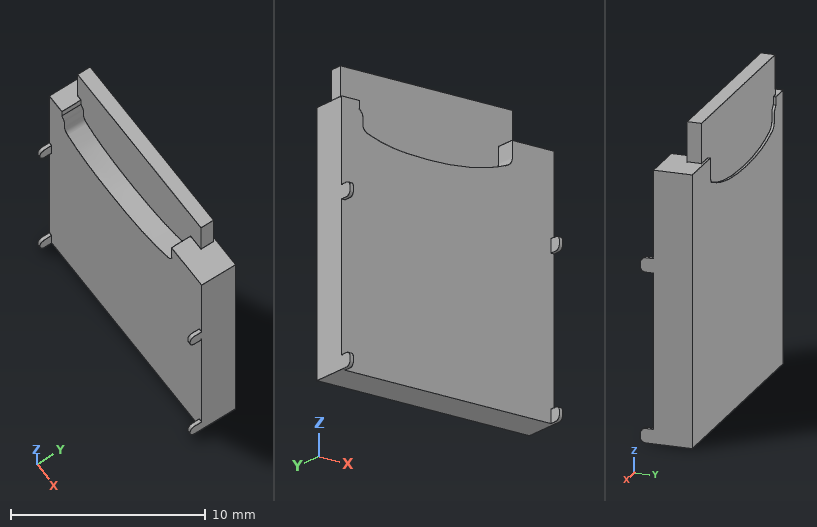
import cadquery as cq

housing_width = 13.7
housing_depth = 2.14
housing_height = 15.0

card_width = 11.1
card_thickness = 0.8
card_length = 15.0
card_protrusion = 2.2
card_offset_x = -0.48
card_back_gap = 0.14

tab_width = 0.22
tab_height = 0.8
tab_length = 0.72
tab_corner_radius = 0.3
upper_tab_base = 9.35

notch_left = -5.49
notch_right = 4.14
notch_mouth_left = -5.71
step_top_drop = 0.45
step_bottom_drop = 0.72
notch_left_drop = 1.57
notch_right_drop = 1.3
step_radius = 0.3
notch_corner_radius = 0.5
floor_points = [(-3.93, 2.06), (-1.72, 2.27), (0.45, 2.21), (1.74, 2.04)]


def make_card():
    card_top = housing_height + card_protrusion
    card_back = housing_depth - card_back_gap
    return cq.Workplane("XY").box(
        card_width, card_thickness, card_length, centered=(True, False, False)
    ).translate((card_offset_x, card_back - card_thickness, card_top - card_length))


def make_notch_cutter():
    def below_top(x, drop):
        return (x, housing_height - drop)

    floor = [below_top(x, drop) for x, drop in floor_points]
    floor.append(below_top(notch_right, notch_right_drop))
    cutter = (
        cq.Workplane("XZ")
        .moveTo(*below_top(notch_mouth_left, 0))
        .lineTo(*below_top(notch_mouth_left, step_top_drop))
        .lineTo(*below_top(notch_left, step_bottom_drop))
        .lineTo(*below_top(notch_left, notch_left_drop))
        .spline(floor, includeCurrent=True)
        .lineTo(*below_top(notch_right, 0))
        .close()
        .extrude(-housing_depth)
    )
    rounded_corners = [
        (notch_left, step_bottom_drop, step_radius),
        (notch_left, notch_left_drop, notch_corner_radius),
        (notch_right, notch_right_drop, notch_corner_radius),
    ]
    for x, drop, radius in rounded_corners:
        corner = (x, housing_depth / 2, housing_height - drop)
        cutter = cutter.edges(cq.selectors.NearestToPointSelector(corner)).fillet(radius)
    return cutter


def make_tab(center_x, base_z):
    root_depth = tab_length
    return (
        cq.Workplane("XY")
        .box(tab_width, tab_length + root_depth, tab_height, centered=(True, False, False))
        .edges("|X and <Y")
        .fillet(tab_corner_radius)
        .translate((center_x, -tab_length, base_z))
    )


def make_housing(card):
    housing = cq.Workplane("XY").box(
        housing_width, housing_depth, housing_height, centered=(True, False, False)
    )
    housing = housing.cut(make_notch_cutter())
    tab_x = (housing_width - tab_width) / 2
    for center_x in (-tab_x, tab_x):
        for base_z in (0, upper_tab_base):
            housing = housing.union(make_tab(center_x, base_z))
    return housing.cut(card)


card = make_card()
housing = make_housing(card)

result = cq.Compound.makeCompound([housing.val(), card.val()])